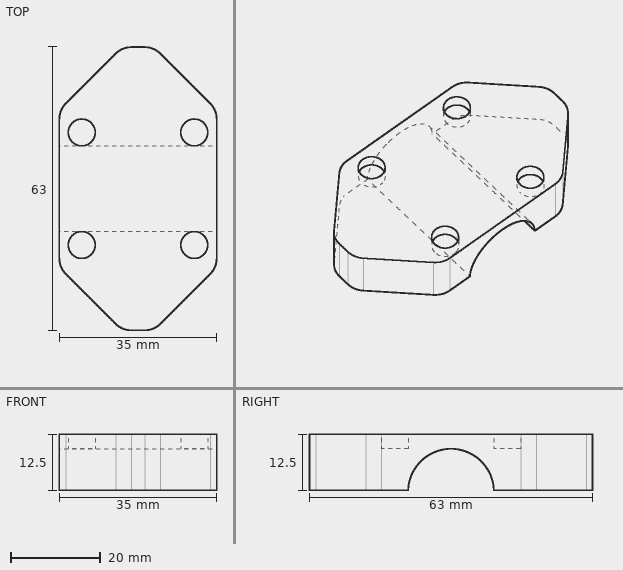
import cadquery as cq

width = 35.0
length = 63.0
height = 12.5

corner_cut = 14.0
corner_radius = 5.0

channel_radius = 9.5
channel_axis_z = -0.3

hole_diameter = 6.0
hole_depth = 3.15
hole_spacing = 25.0


def make_block():
    """Plate with 45-degree corner cuts and rounded vertical edges."""
    block = cq.Workplane("XY").box(width, length, height, centered=(True, True, False))
    return block.edges("|Z").chamfer(corner_cut).edges("|Z").fillet(corner_radius)


def make_channel():
    """Cylinder that removes the channel across the full width."""
    return (
        cq.Workplane("YZ")
        .center(0, channel_axis_z)
        .circle(channel_radius)
        .extrude(width / 2, both=True)
    )


def make_holes():
    """Square pattern of blind holes opening on the top face."""
    return (
        cq.Workplane("XY")
        .workplane(offset=height - hole_depth)
        .rect(hole_spacing, hole_spacing, forConstruction=True)
        .vertices()
        .circle(hole_diameter / 2)
        .extrude(hole_depth)
    )


result = make_block().cut(make_channel()).cut(make_holes())